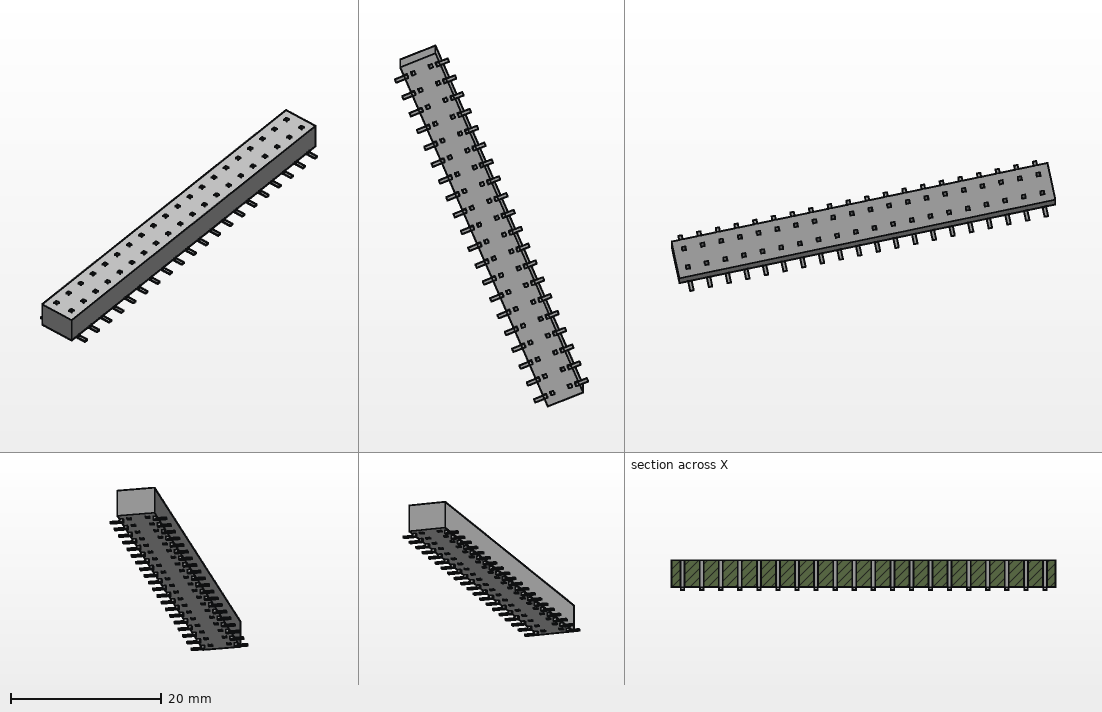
import cadquery as cq

PITCH = 2.54
ROW_COUNT = 20
COLUMN_COUNT = 2
ROW_OFFSET = 0.04

OVERALL_WIDTH = 7.63
OVERALL_HEIGHT = 4.0

STANDOFF = 0.4
END_MARGIN = 0.2
BODY_WIDTH = 5.1
BODY_LENGTH = ROW_COUNT * PITCH + 2 * END_MARGIN
BODY_HEIGHT = OVERALL_HEIGHT - STANDOFF
SOCKET_SIZE = 0.5

TAIL_WIDTH = 0.5
FOOT_THICKNESS = 0.14
LEG_THICKNESS = 0.45
LEG_INNER_X = 2.06
LEG_OUTER_X = LEG_INNER_X + LEG_THICKNESS
FOOT_TIP_X = OVERALL_WIDTH / 2

ROW_POSITIONS = [ROW_OFFSET + (row - (ROW_COUNT - 1) / 2) * PITCH for row in range(ROW_COUNT)]


def make_body():
    """Rectangular block with square sockets running through its full height."""
    block = (
        cq.Workplane("XY")
        .workplane(offset=STANDOFF)
        .rect(BODY_WIDTH, BODY_LENGTH)
        .extrude(BODY_HEIGHT)
    )
    sockets = (
        cq.Workplane("XY")
        .workplane(offset=STANDOFF)
        .center(0, ROW_OFFSET)
        .rarray(PITCH, PITCH, COLUMN_COUNT, ROW_COUNT)
        .rect(SOCKET_SIZE, SOCKET_SIZE)
        .extrude(BODY_HEIGHT)
    )
    return block.cut(sockets)


def make_tail():
    """One tail on the +X side, centred on Y = 0."""
    profile = [
        (LEG_INNER_X, 0),
        (FOOT_TIP_X, 0),
        (FOOT_TIP_X, FOOT_THICKNESS),
        (LEG_OUTER_X, FOOT_THICKNESS),
        (LEG_OUTER_X, STANDOFF),
        (LEG_INNER_X, STANDOFF),
    ]
    return cq.Workplane("XZ").polyline(profile).close().extrude(TAIL_WIDTH / 2, both=True)


def add_tails(body):
    """Join a mirrored pair of tails to the underside of the body at every row."""
    right_tail = make_tail()
    left_tail = right_tail.mirror("YZ")
    for y in ROW_POSITIONS:
        for tail in (right_tail, left_tail):
            body = body.union(tail.translate((0, y, 0)))
    return body


result = add_tails(make_body())